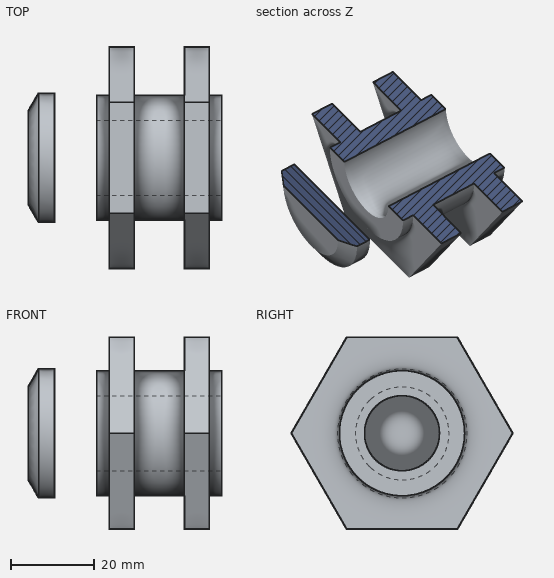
import cadquery as cq
import math

SLEEVE_LENGTH = 30.0
SLEEVE_DIAMETER = 30.0
BORE_DIAMETER = 18.0
FLANGE_ACROSS_FLATS = 46.0
FLANGE_THICKNESS = 6.0
FLANGE_INSET = 3.0

CAP_GAP = 10.1
CAP_DIAMETER = 31.0
CAP_THICKNESS = 6.35
CAP_TAPER_LENGTH = 2.5
CAP_TAPER_ANGLE = 60.0


def section_at(x):
    """Plane square to the X axis, its local x running along +Y."""
    return cq.Workplane("YZ", origin=(x, 0, 0))


def make_flange(x):
    """Hexagonal flange from x towards +X, with corners on the Y axis and flats facing up and down."""
    across_corners = FLANGE_ACROSS_FLATS / math.cos(math.radians(30))
    return section_at(x).polygon(6, across_corners).extrude(FLANGE_THICKNESS)


def make_housing():
    body = section_at(0).circle(SLEEVE_DIAMETER / 2).extrude(SLEEVE_LENGTH)
    front_flange_x = FLANGE_INSET
    rear_flange_x = SLEEVE_LENGTH - FLANGE_INSET - FLANGE_THICKNESS
    for x in (front_flange_x, rear_flange_x):
        body = body.union(make_flange(x))
    bore = section_at(0).circle(BORE_DIAMETER / 2).extrude(SLEEVE_LENGTH)
    return body.cut(bore)


def make_cap():
    """Cap revolved about the X axis from its half profile."""
    back_x = -CAP_GAP
    front_x = back_x - CAP_THICKNESS
    rim_x = front_x + CAP_TAPER_LENGTH
    rim_radius = CAP_DIAMETER / 2
    front_radius = rim_radius - CAP_TAPER_LENGTH * math.tan(math.radians(CAP_TAPER_ANGLE))
    half_profile = [
        (front_x, 0),
        (front_x, front_radius),
        (rim_x, rim_radius),
        (back_x, rim_radius),
        (back_x, 0),
    ]
    return cq.Workplane("XY").polyline(half_profile).close().revolve(360, (0, 0, 0), (1, 0, 0))


housing = make_housing()
cap = make_cap()

result = cq.Compound.makeCompound([housing.val(), cap.val()])